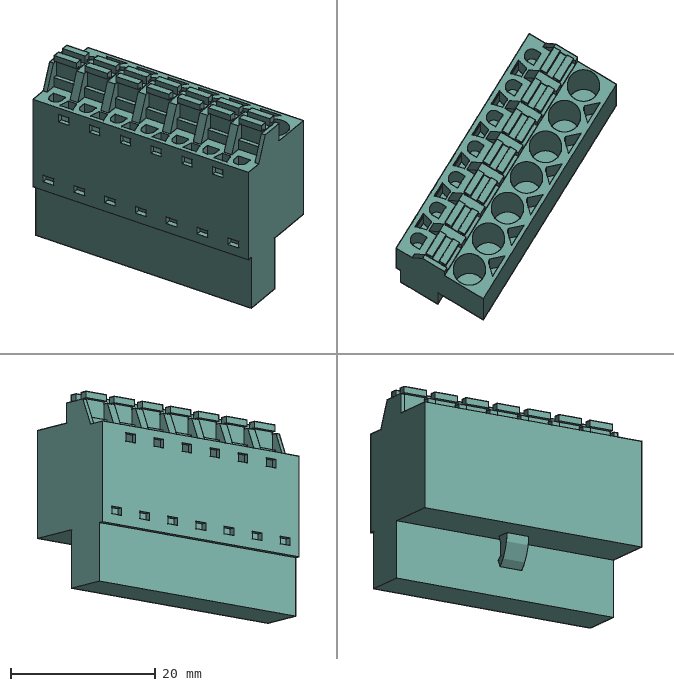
import cadquery as cq

LENGTH = 35.55
POSITIONS = 7
PITCH = LENGTH / POSITIONS
POLE_CENTRES = [(i + 0.5) * PITCH for i in range(POSITIONS)]
WALL_CENTRES = [(i + 1) * PITCH for i in range(POSITIONS - 1)]

HEIGHT = 27.75
DEPTH = 14.2
PLUG_FRONT = 0.7
PLUG_BACK = 6.8
PLUG_HEIGHT = 8.32
FRONT_SHELF = 22.65
BACK_SHELF = 23.7
RIB_TOP = 26.53
SLOPE_FOOT = 2.63
SLOPE_HEAD = 4.3
RIB_BACK = 7.9

SLOT_WIDTH = 3.8
LEDGE_FRONT = 4.37
LEDGE_TOP = 24.15

LEVER_WIDTH = 3.7
LEVER_FRONT = 5.0
LEVER_BACK = 7.08
LEVER_BOTTOM = 17.78
BAR_FRONT = 4.4
BAR_BACK = 7.65
BAR_HEIGHT = 0.92
GROOVE_FRONT = 5.48
GROOVE_BACK = 6.58

ENTRY_DIAMETER = 4.48
ENTRY_Y = 10.4
ENTRY_DEPTH = 14.22
TRIANGLE_BACK = 13.62
TRIANGLE_FRONT = 12.02
TRIANGLE_BACK_WIDTH = 3.38
TRIANGLE_FRONT_WIDTH = 0.35
TRIANGLE_DEPTH = 7.1
TEST_HOLE_WIDTH = 2.0
TEST_HOLE_FRONT = 0.95
TEST_HOLE_BACK = 2.88
TEST_HOLE_DEPTH = 7.1
NOTCH_FRONT = 0.68
NOTCH_BACK = 2.28
NOTCH_FRONT_WIDTH = 2.17
NOTCH_BACK_WIDTH = 1.35
NOTCH_DEPTH = 7.1

UPPER_WINDOW_WIDTH = 1.67
UPPER_WINDOW_BOTTOM = 20.38
UPPER_WINDOW_TOP = 21.6
LOWER_WINDOW_WIDTH = 1.75
LOWER_WINDOW_BOTTOM = 9.7
LOWER_WINDOW_TOP = 10.77
LOWER_WINDOW_DEPTH = 0.82

HOOK_WIDTH = 3.55
HOOK_ROOT_BACK = 10.15
HOOK_ROOT_FRONT = 8.07
HOOK_NECK_FRONT = 8.45
HOOK_NECK_TOP = 7.22
HOOK_NECK_BOTTOM = 5.45
HOOK_BARB = (7.82, 4.87)
HOOK_TIP = (8.32, 3.85)
HOOK_BACK_MIDDLE = (9.45, 5.5)


def box(x_centre, width, y_range, z_range):
    """Box centred on x_centre, between the given Y and Z limits."""
    y0, y1 = y_range
    z0, z1 = z_range
    return cq.Workplane("XY").box(width, y1 - y0, z1 - z0, centered=(True, False, False)).translate(
        (x_centre, y0, z0)
    )


def trapezoid_cutter(x_centre, front, back, top, depth):
    """Straight-sided cutter reaching down from top; front and back are (y, width) pairs."""
    front_y, front_width = front
    back_y, back_width = back
    return (
        cq.Workplane("XY", origin=(x_centre, 0, top))
        .moveTo(-front_width / 2, front_y)
        .lineTo(front_width / 2, front_y)
        .lineTo(back_width / 2, back_y)
        .lineTo(-back_width / 2, back_y)
        .close()
        .extrude(-depth)
    )


def housing_block():
    """Main block, ribbed crest and plug as one profile along X."""
    return (
        cq.Workplane("YZ")
        .polyline(
            [
                (PLUG_FRONT, 0),
                (PLUG_BACK, 0),
                (PLUG_BACK, PLUG_HEIGHT),
                (DEPTH, PLUG_HEIGHT),
                (DEPTH, BACK_SHELF),
                (RIB_BACK, BACK_SHELF),
                (RIB_BACK, RIB_TOP),
                (SLOPE_HEAD, RIB_TOP),
                (SLOPE_FOOT, FRONT_SHELF),
                (0, FRONT_SHELF),
                (0, PLUG_HEIGHT),
                (PLUG_FRONT, PLUG_HEIGHT),
            ]
        )
        .close()
        .extrude(LENGTH)
    )


def latch_hook():
    """Curved hook hanging from the underside behind the plug."""
    return (
        cq.Workplane("YZ", origin=((LENGTH - HOOK_WIDTH) / 2, 0, 0))
        .moveTo(HOOK_ROOT_BACK, PLUG_HEIGHT)
        .threePointArc(HOOK_BACK_MIDDLE, HOOK_TIP)
        .lineTo(*HOOK_BARB)
        .lineTo(HOOK_NECK_FRONT, HOOK_NECK_BOTTOM)
        .lineTo(HOOK_NECK_FRONT, HOOK_NECK_TOP)
        .lineTo(HOOK_ROOT_FRONT, PLUG_HEIGHT)
        .close()
        .extrude(HOOK_WIDTH)
    )


def lever_slot(x_centre):
    """Slot between two ribs: stepped at the ledge, with the lever's pocket below."""
    front = box(x_centre, SLOT_WIDTH, (0, LEDGE_FRONT), (FRONT_SHELF, RIB_TOP))
    above_ledge = box(x_centre, SLOT_WIDTH, (LEDGE_FRONT, RIB_BACK), (LEDGE_TOP, RIB_TOP))
    pocket = box(x_centre, SLOT_WIDTH, (LEVER_FRONT, LEVER_BACK), (LEVER_BOTTOM, LEDGE_TOP))
    return front.union(above_ledge).union(pocket)


def wire_entry(x_centre):
    return (
        cq.Workplane("XY", origin=(x_centre, ENTRY_Y, BACK_SHELF))
        .circle(ENTRY_DIAMETER / 2)
        .extrude(-ENTRY_DEPTH)
    )


def test_hole(x_centre):
    """D-shaped hole, flat at the back and round at the front."""
    radius = TEST_HOLE_WIDTH / 2
    arc_y = TEST_HOLE_FRONT + radius
    return (
        cq.Workplane("XY", origin=(x_centre, 0, FRONT_SHELF))
        .moveTo(-radius, TEST_HOLE_BACK)
        .lineTo(-radius, arc_y)
        .threePointArc((0, TEST_HOLE_FRONT), (radius, arc_y))
        .lineTo(radius, TEST_HOLE_BACK)
        .close()
        .extrude(-TEST_HOLE_DEPTH)
    )


def lower_window(x_centre):
    z_range = (LOWER_WINDOW_BOTTOM, LOWER_WINDOW_TOP)
    return box(x_centre, LOWER_WINDOW_WIDTH, (0, LOWER_WINDOW_DEPTH), z_range)


def triangle_pocket(x_centre):
    """Blunt triangle between two wire entries."""
    return trapezoid_cutter(
        x_centre,
        (TRIANGLE_FRONT, TRIANGLE_FRONT_WIDTH),
        (TRIANGLE_BACK, TRIANGLE_BACK_WIDTH),
        BACK_SHELF,
        TRIANGLE_DEPTH,
    )


def windowed_notch(x_centre):
    """Tapered notch in the front shelf, opened to the front by the upper window."""
    notch = trapezoid_cutter(
        x_centre,
        (NOTCH_FRONT, NOTCH_FRONT_WIDTH),
        (NOTCH_BACK, NOTCH_BACK_WIDTH),
        FRONT_SHELF,
        NOTCH_DEPTH,
    )
    z_range = (UPPER_WINDOW_BOTTOM, UPPER_WINDOW_TOP)
    window = box(x_centre, UPPER_WINDOW_WIDTH, (0, NOTCH_FRONT), z_range)
    return notch.union(window)


def make_housing():
    body = housing_block().union(latch_hook())
    for x in POLE_CENTRES:
        for cutter in (lever_slot, wire_entry, test_hole, lower_window):
            body = body.cut(cutter(x))
    for x in WALL_CENTRES:
        for cutter in (triangle_pocket, windowed_notch):
            body = body.cut(cutter(x))
    return body


def make_lever(x_centre):
    """Straight lever with two overhanging bars on top, parted by a groove."""
    bar_bottom = HEIGHT - BAR_HEIGHT
    shank = box(x_centre, LEVER_WIDTH, (LEVER_FRONT, LEVER_BACK), (LEVER_BOTTOM, HEIGHT))
    bars = box(x_centre, LEVER_WIDTH, (BAR_FRONT, BAR_BACK), (bar_bottom, HEIGHT))
    groove = box(x_centre, LEVER_WIDTH, (GROOVE_FRONT, GROOVE_BACK), (RIB_TOP, HEIGHT))
    return shank.union(bars).cut(groove)


housing = make_housing()
levers = [make_lever(x) for x in POLE_CENTRES]

result = cq.Compound.makeCompound([housing.val(), *[lever.val() for lever in levers]])